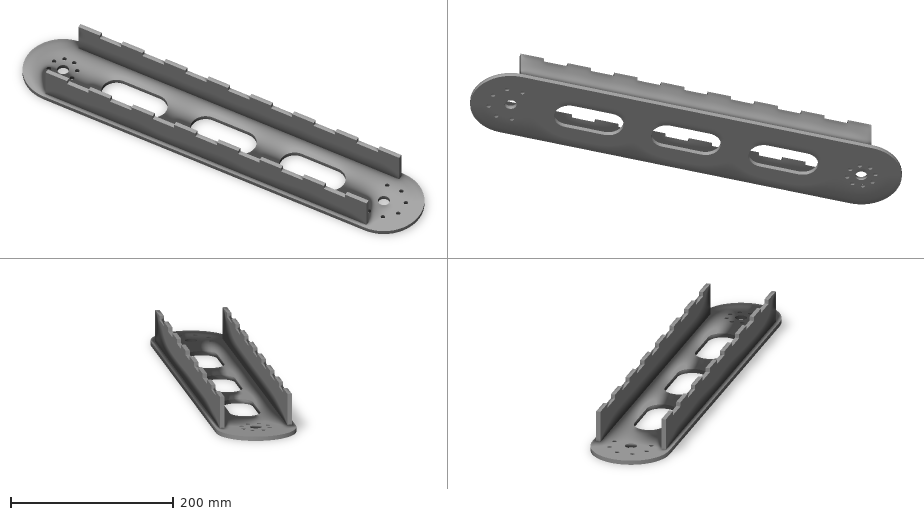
import cadquery as cq
import math

plate_length = 550.0
plate_width = 100.0
plate_thickness = 5.4
end_center_x = (plate_length - plate_width) / 2

slot_count = 3
slot_length = 88.0
slot_width = 38.0
slot_pitch = 125.0

pivot_diameter = 15.0
screw_diameter = 5.5
ring_step = 45.0
left_ring_start = ring_step / 2
left_ring_radius = 17.5
left_screw_count = 8
right_ring_radius = 26.0
right_screw_count = 6
right_ring_shift = 1.5
right_ring_x = end_center_x + right_ring_shift
right_ring_start = -ring_step * (right_screw_count - 1) / 2

total_height = 45.5
rail_length = 2 * end_center_x
rail_height = total_height - plate_thickness
rail_thickness = 5.5
rail_edge_gap = 5.0
rail_offset = plate_width / 2 - rail_edge_gap - rail_thickness / 2
rail_centers = [-rail_offset, rail_offset]
notch_count = 7
notch_depth = plate_thickness
notch_length = rail_length / (2 * notch_count + 1)
notch_pitch = 2 * notch_length


def ring_points(center_x, radius, start_angle, count):
    """Points on a ring around (center_x, 0), spaced by ring_step degrees."""
    angles = [math.radians(start_angle + i * ring_step) for i in range(count)]
    return [(center_x + radius * math.cos(a), radius * math.sin(a)) for a in angles]


def notch_blocks(center_y, bottom, height):
    """Row of blocks at the notch places, as thick as a rail."""
    return (
        cq.Workplane("XY", origin=(0, center_y, bottom))
        .rarray(notch_pitch, 5.5, notch_count, 1)
        .rect(notch_length, rail_thickness)
        .extrude(height)
    )


def make_plate():
    plate = cq.Workplane("XY").slot2D(plate_length, plate_width).extrude(plate_thickness)

    slots = cq.Workplane("XY").rarray(slot_pitch, 5.5, slot_count, 1).slot2D(slot_length, slot_width)
    plate = plate.cut(slots.extrude(plate_thickness))

    pivot_points = [(-end_center_x, 0), (end_center_x, 0)]
    pivots = cq.Workplane("XY").pushPoints(pivot_points).circle(pivot_diameter / 2)
    plate = plate.cut(pivots.extrude(plate_thickness))

    screw_points = ring_points(-end_center_x, left_ring_radius, left_ring_start, left_screw_count)
    screw_points += ring_points(right_ring_x, right_ring_radius, right_ring_start, right_screw_count)
    screws = cq.Workplane("XY").pushPoints(screw_points).circle(screw_diameter / 2)
    plate = plate.cut(screws.extrude(plate_thickness))

    for center_y in rail_centers:
        plate = plate.cut(notch_blocks(center_y, 0, plate_thickness))
    return plate


def make_rail(center_y):
    rail = (
        cq.Workplane("XY", origin=(0, center_y, plate_thickness))
        .box(rail_length, rail_thickness, rail_height, centered=(True, True, False))
    )
    rail = rail.cut(notch_blocks(center_y, total_height - notch_depth, notch_depth))

    return rail.union(notch_blocks(center_y, 0, plate_thickness))


plate = make_plate()
rails = [make_rail(center_y) for center_y in rail_centers]

result = cq.Compound.makeCompound([*[rail.solids().val() for rail in rails], plate.solids().val()])